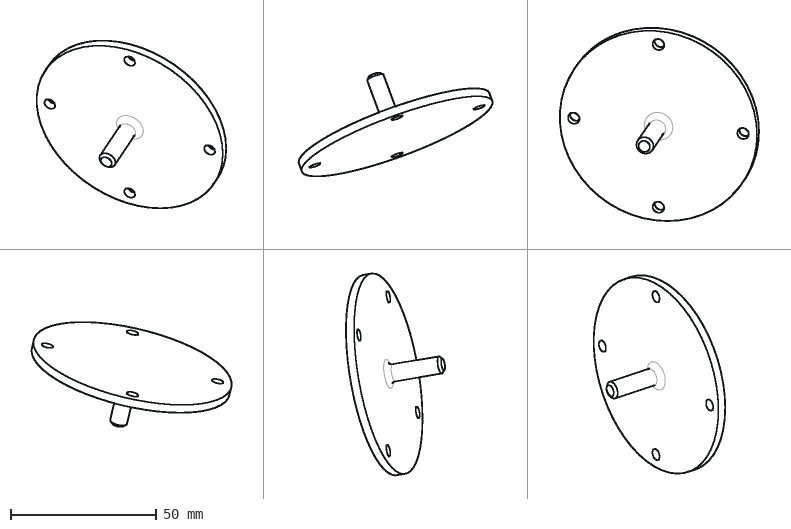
import cadquery as cq

plate_diameter = 70.0
plate_thickness = 3.0
overall_depth = 23.0
pin_diameter = 6.0
root_fillet = 2.0
tip_chamfer = 1.0
hole_diameter = 4.0
hole_circle_radius = 30.0
hole_count = 4

pin_length = overall_depth - plate_thickness


def make_plate():
    """Round plate with its front face on Y = 0 and its thickness toward +Y."""
    plate = cq.Workplane("XZ").circle(plate_diameter / 2).extrude(-plate_thickness)
    holes = (
        cq.Workplane("XZ")
        .polarArray(hole_circle_radius, 0, 360, hole_count)
        .circle(hole_diameter / 2)
        .extrude(-plate_thickness)
    )
    return plate.cut(holes)


def make_pin():
    """Central pin toward -Y with a chamfered tip."""
    pin = cq.Workplane("XZ").circle(pin_diameter / 2).extrude(pin_length)
    return pin.faces("<Y").chamfer(tip_chamfer)


def round_pin_root(body):
    """Fillet the corner where the pin meets the plate."""
    root_edge = cq.selectors.BoxSelector(
        (-pin_diameter, -root_fillet, -pin_diameter),
        (pin_diameter, root_fillet, pin_diameter),
        boundingbox=True,
    )
    return body.edges(root_edge).fillet(root_fillet)


result = round_pin_root(make_plate().union(make_pin()))